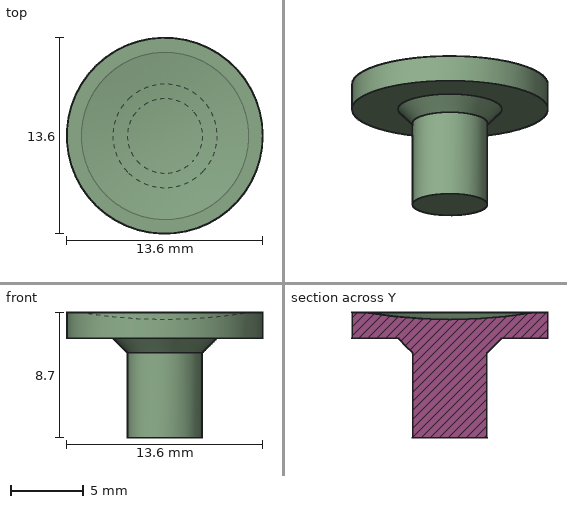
import cadquery as cq

head_diameter = 13.6
total_height = 8.7

head_thickness = 1.8
stem_diameter = 5.2
flare_size = 1.0

dish_diameter = 11.6
dish_depth = 0.48

head_radius = head_diameter / 2
stem_radius = stem_diameter / 2
dish_radius = dish_diameter / 2
head_bottom = total_height - head_thickness
flare_bottom = head_bottom - flare_size
dish_sphere_radius = (dish_radius**2 + dish_depth**2) / (2 * dish_depth)


def make_body():
    """Revolve the stem, flare and plain head about Z."""
    return (
        cq.Workplane("XZ")
        .moveTo(0, 0)
        .lineTo(stem_radius, 0)
        .lineTo(stem_radius, flare_bottom)
        .lineTo(stem_radius + flare_size, head_bottom)
        .lineTo(head_radius, head_bottom)
        .lineTo(head_radius, total_height)
        .lineTo(0, total_height)
        .close()
        .revolve(360, (0, 0, 0), (0, 1, 0))
    )


def make_dish_cutter():
    """Sphere whose lowest point reaches the dish depth."""
    center_height = total_height - dish_depth + dish_sphere_radius
    return cq.Workplane("XY").sphere(dish_sphere_radius).translate((0, 0, center_height))


result = make_body().cut(make_dish_cutter())